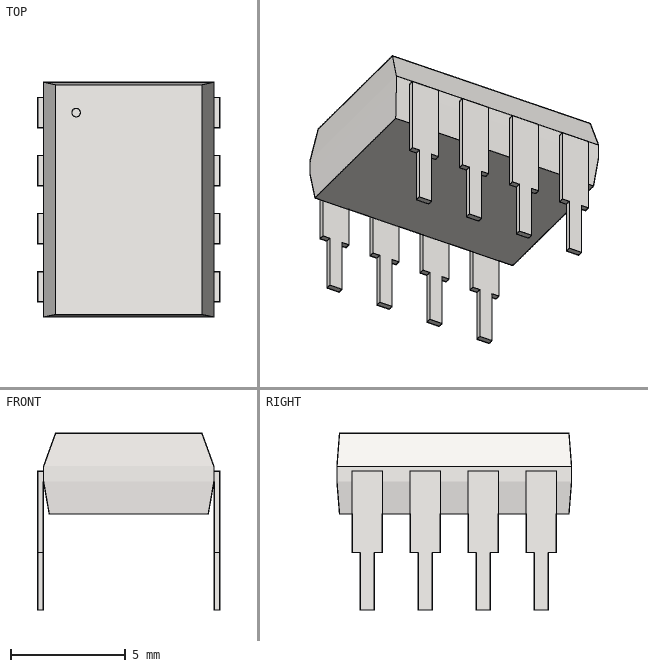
import cadquery as cq

overall_height = 7.75
overall_width = 7.99

housing_length = 10.29
band_height = 0.67
upper_height = 1.45
lower_height = 1.42
upper_side_inset = 0.52
lower_side_inset = 0.25
end_inset = 0.11

pin_thickness = 0.26
pins_per_side = 4
pin_pitch = 2.54
shoulder_width = 1.33
leg_width = 0.63
leg_height = 2.52
pin_height = 6.09

marker_diameter = 0.37
marker_depth = 0.05
marker_offset = 2.3

housing_width = overall_width - 2 * pin_thickness
lower_top_z = overall_height - upper_height - band_height
upper_base_z = overall_height - upper_height
first_pin_y = pin_pitch * (pins_per_side - 1) / 2
shoulder_height = pin_height - leg_height


def tapered_cap(base_z, height, side_inset):
    """Cap that narrows from the band outline; a negative height tapers downward."""
    return (
        cq.Workplane("XY", origin=(0, 0, base_z))
        .rect(housing_width, housing_length)
        .workplane(offset=height)
        .rect(housing_width - 2 * side_inset, housing_length - 2 * end_inset)
        .loft(ruled=True, combine=True)
    )


def make_marker():
    """Disc whose upper face lies in the top face of the housing."""
    return (
        cq.Workplane("XY", origin=(-marker_offset, first_pin_y, overall_height - marker_depth))
        .circle(marker_diameter / 2)
        .extrude(marker_depth)
    )


def make_housing():
    """Housing with a recess that fits the marker."""
    band = (
        cq.Workplane("XY", origin=(0, 0, lower_top_z))
        .rect(housing_width, housing_length)
        .extrude(band_height)
    )
    upper_cap = tapered_cap(upper_base_z, upper_height, upper_side_inset)
    lower_cap = tapered_cap(lower_top_z, -lower_height, lower_side_inset)
    return band.union(upper_cap).union(lower_cap).cut(make_marker())


def make_pin(side, y):
    """Flat stepped pin against one long side of the housing; side is -1 or 1."""
    center_x = side * (housing_width + pin_thickness) / 2
    leg = (
        cq.Workplane("XY", origin=(center_x, y, 0))
        .rect(pin_thickness, leg_width)
        .extrude(leg_height)
    )
    shoulder = (
        cq.Workplane("XY", origin=(center_x, y, leg_height))
        .rect(pin_thickness, shoulder_width)
        .extrude(shoulder_height)
    )
    return leg.union(shoulder)


housing = make_housing()
marker = make_marker()
pins = []
for side in (-1, 1):
    for index in range(pins_per_side):
        pins.append(make_pin(side, first_pin_y - index * pin_pitch))

result = cq.Compound.makeCompound([housing.val(), marker.val(), *[pin.val() for pin in pins]])